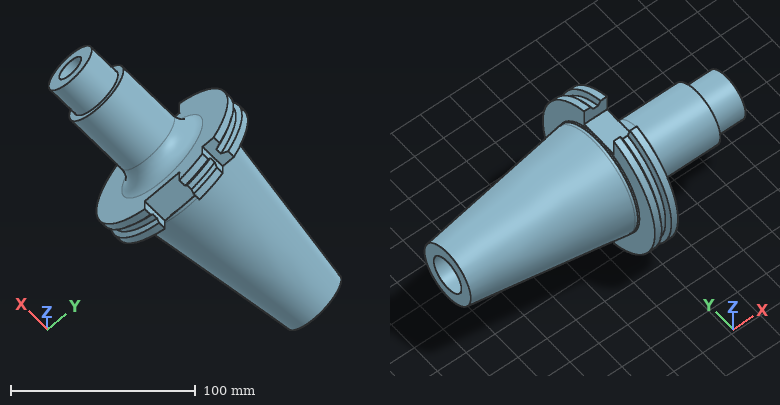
import cadquery as cq
import math

total_length = 193.6
taper_length = 101.9
flange_start = 104.8
flange_width = 16.0
flange_end = flange_start + flange_width
fillet_end = 132.7
shank_end = 173.0

neck_end = 103.8
flare_height = 0.4

taper_small_radius = 20.1
taper_large_radius = taper_small_radius + taper_length * 7 / 48
flange_diameter = 97.5
flange_radius = flange_diameter / 2
shank_radius = 20.1
nose_radius = 16.0
fillet_radius = 12.0

groove_radius = 45.7
groove_top_width = 6.8
groove_floor_width = 3.5

bore_radius = 8.1
counterbore_radius = 12.0
counterbore_depth = 69.7

slot_width = 25.5
upper_slot_floor = 35.2
lower_slot_floor = 37.5
notch_offset = 30.0


def turned_body():
    """Revolve the outer profile, with a concave arc blending flange and shank."""
    arc_center_radius = shank_radius + fillet_radius

    def arc_point(x):
        drop = math.sqrt(fillet_radius**2 - (fillet_end - x) ** 2)
        return (x, arc_center_radius - drop)

    profile = (
        cq.Workplane("XY")
        .lineTo(0, taper_small_radius)
        .lineTo(taper_length, taper_large_radius)
        .lineTo(neck_end, taper_large_radius)
        .lineTo(flange_start, taper_large_radius + flare_height)
        .lineTo(flange_start, flange_radius)
        .lineTo(flange_end, flange_radius)
        .lineTo(*arc_point(flange_end))
        .threePointArc(arc_point((flange_end + fillet_end) / 2), (fillet_end, shank_radius))
        .lineTo(shank_end, shank_radius)
        .lineTo(shank_end, nose_radius)
        .lineTo(total_length, nose_radius)
        .lineTo(total_length, 0)
        .close()
    )
    return profile.revolve(360, (0, 0, 0), (1, 0, 0))


def flange_groove():
    """Ring with sloping sides that cuts the groove into the flange rim."""
    middle = (flange_start + flange_end) / 2
    profile = cq.Workplane("XY").polyline([
        (middle - groove_top_width / 2, flange_radius),
        (middle - groove_floor_width / 2, groove_radius),
        (middle + groove_floor_width / 2, groove_radius),
        (middle + groove_top_width / 2, flange_radius),
    ]).close()
    return profile.revolve(360, (0, 0, 0), (1, 0, 0))


def bore(radius, depth):
    """Cylinder on the X axis, starting at the taper end."""
    return cq.Workplane("YZ").circle(radius).extrude(depth)


def flange_cut(y_min, y_max, z_min, z_max):
    """Block across the full flange width, for removing part of its rim."""
    return (
        cq.Workplane("XY")
        .box(flange_width, y_max - y_min, z_max - z_min, centered=False)
        .translate((flange_start, y_min, z_min))
    )


result = turned_body().cut(flange_groove())
result = result.cut(bore(bore_radius, total_length))
result = result.cut(bore(counterbore_radius, counterbore_depth))

half_slot = slot_width / 2
result = result.cut(flange_cut(-half_slot, half_slot, upper_slot_floor, flange_radius))
result = result.cut(flange_cut(-half_slot, half_slot, -flange_radius, -lower_slot_floor))

result = result.cut(flange_cut(notch_offset, flange_radius, -flange_radius, -notch_offset))